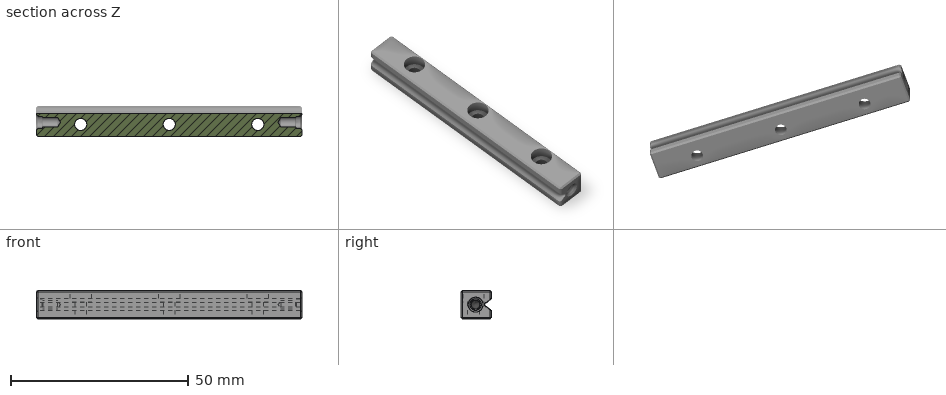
import cadquery as cq
import math

length = 75.0
width = 8.6
height = 8.0
edge_chamfer = 0.45

groove_half_mouth = 1.7
groove_depth = 1.95
groove_root_radius = 0.6
groove_half_angle = 40.0

hole_count = 3
hole_pitch = length / hole_count
hole_from_front = 3.5
hole_diameter = 3.3
counterbore_diameter = 6.0
counterbore_depth = 3.2

end_hole_from_front = 4.1
countersink_diameter = 4.2
end_bore_diameter = 3.2
end_bore_depth = 1.6
tap_diameter = 2.5
tap_depth = 6.0
drill_tip_angle = 118.0

front_y = -width / 2
back_y = width / 2


def make_bar():
    """Rectangular bar with every edge chamfered."""
    bar = cq.Workplane("XY").box(length, width, height)
    return bar.edges().chamfer(edge_chamfer)


def make_groove():
    """V groove whose flanks end in a narrow slot with a full-round root."""
    flank_drop = groove_half_mouth - groove_root_radius
    flank_depth = flank_drop / math.tan(math.radians(groove_half_angle))
    slot_y = back_y - flank_depth
    root_y = back_y - groove_depth
    arc_start_y = root_y + groove_root_radius
    return (
        cq.Workplane("YZ", origin=(-length / 2, 0, 0))
        .moveTo(back_y, groove_half_mouth)
        .lineTo(slot_y, groove_root_radius)
        .lineTo(arc_start_y, groove_root_radius)
        .threePointArc((root_y, 0), (arc_start_y, -groove_root_radius))
        .lineTo(slot_y, -groove_root_radius)
        .lineTo(back_y, -groove_half_mouth)
        .close()
        .extrude(length)
    )


def make_end_hole():
    """Countersunk hole with a conical step and a drill tip, entering the -X end."""
    tap_radius = tap_diameter / 2
    bore_radius = end_bore_diameter / 2
    sink_radius = countersink_diameter / 2
    tip_slope = math.tan(math.radians(drill_tip_angle / 2))
    step_length = (bore_radius - tap_radius) / tip_slope
    tip_length = tap_radius / tip_slope
    profile = [
        (0, 0),
        (0, sink_radius),
        (sink_radius - bore_radius, bore_radius),
        (end_bore_depth, bore_radius),
        (end_bore_depth + step_length, tap_radius),
        (tap_depth, tap_radius),
        (tap_depth + tip_length, 0),
    ]
    hole = cq.Workplane("XY").polyline(profile).close().revolve(360, (0, 0, 0), (1, 0, 0))
    return hole.translate((-length / 2, front_y + end_hole_from_front, 0))


def cut_mounting_holes(bar):
    """Row of counterbored through holes, evenly spaced about the middle."""
    middle = (hole_count - 1) / 2
    places = [((i - middle) * hole_pitch, front_y + hole_from_front) for i in range(hole_count)]
    return (
        bar.faces(">Z")
        .workplane(origin=(0, 0, height / 2))
        .pushPoints(places)
        .cboreHole(hole_diameter, counterbore_diameter, counterbore_depth)
    )


end_hole = make_end_hole()
result = make_bar().cut(make_groove())
result = cut_mounting_holes(result)
result = result.cut(end_hole).cut(end_hole.mirror("YZ"))